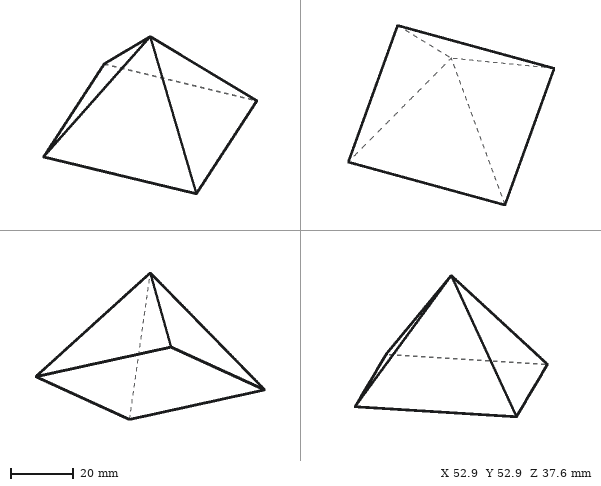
import cadquery as cq
import math

base_side = 52.85
base_thickness = 0.2
pyramid_height = base_side / math.sqrt(2)
total_height = base_thickness + pyramid_height
half_side = base_side / 2


def planar_face(corners):
    """Flat face bounded by straight edges through the corners."""
    return cq.Face.makeFromWires(cq.Wire.makePolygon(corners, close=True))


def square_pyramid():
    """Pyramid standing on the base plate, with a sharp apex."""
    corners = [
        cq.Vector(x * half_side, y * half_side, base_thickness)
        for x, y in [(-1, -1), (1, -1), (1, 1), (-1, 1)]
    ]
    apex = cq.Vector(0, 0, total_height)
    faces = [planar_face(corners)]
    for index, corner in enumerate(corners):
        next_corner = corners[(index + 1) % len(corners)]
        faces.append(planar_face([corner, next_corner, apex]))
    return cq.Solid.makeSolid(cq.Shell.makeShell(faces))


base_plate = cq.Workplane("XY").box(
    base_side, base_side, base_thickness, centered=(True, True, False)
)

result = base_plate.union(cq.Workplane(obj=square_pyramid()))